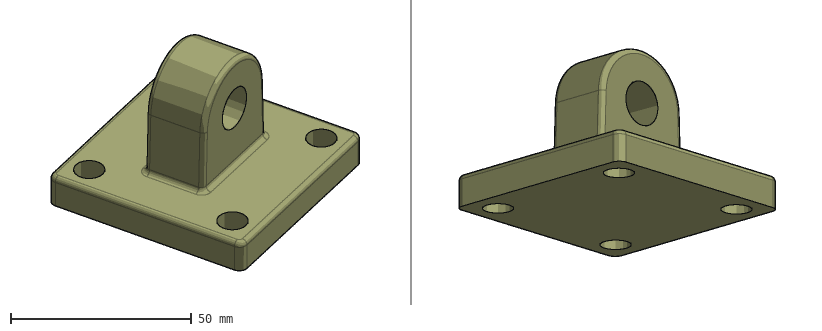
import cadquery as cq
import math

plate_side = 63.5
plate_thickness = 9.525
plate_corner_radius = 2.54

mount_hole_diameter = 8.636
mount_hole_spacing = 46.736

lug_width = 19.05
crown_radius = 15.748
flank_draft = math.radians(2.0)
pin_hole_diameter = 12.7
pin_height = 28.575

edge_fillet = 1.524
root_fillet = 1.524
selection_margin = 0.1


def make_plate():
    """Square plate with rounded corners and a rounded top rim."""
    plate = cq.Workplane("XY").box(plate_side, plate_side, plate_thickness, centered=(True, True, False))
    plate = plate.edges("|Z").fillet(plate_corner_radius)
    return plate.faces(">Z").edges().fillet(edge_fillet)


def make_lug():
    """Rounded lug whose straight flanks leave the crown arc tangentially."""
    tangent_y = crown_radius * math.cos(flank_draft)
    tangent_z = pin_height + crown_radius * math.sin(flank_draft)
    foot_z = plate_thickness / 2
    foot_y = tangent_y + (tangent_z - foot_z) * math.tan(flank_draft)
    lug = (
        cq.Workplane("YZ")
        .moveTo(-foot_y, foot_z)
        .lineTo(-tangent_y, tangent_z)
        .threePointArc((0, pin_height + crown_radius), (tangent_y, tangent_z))
        .lineTo(foot_y, foot_z)
        .close()
        .extrude(lug_width / 2, both=True)
    )
    rim = lug.faces("<X or >X").edges("not <Z")
    return rim.fillet(edge_fillet)


def fillet_lug_root(body):
    """Blend the lug into the top of the plate."""
    reach = plate_side / 2 - plate_corner_radius
    root_region = cq.selectors.BoxSelector(
        (-reach, -reach, plate_thickness - selection_margin),
        (reach, reach, plate_thickness + selection_margin),
    )
    return body.edges(root_region).fillet(root_fillet)


def cut_pin_hole(body):
    """Bore the pin hole through the lug along X."""
    pin = cq.Workplane("YZ").center(0, pin_height).circle(pin_hole_diameter / 2).extrude(lug_width, both=True)
    return body.cut(pin)


def cut_mount_holes(body):
    """Drill the four mounting holes through the plate."""
    drills = (
        cq.Workplane("XY")
        .rect(mount_hole_spacing, mount_hole_spacing, forConstruction=True)
        .vertices()
        .circle(mount_hole_diameter / 2)
        .extrude(plate_thickness)
    )
    return body.cut(drills)


bracket = make_plate().union(make_lug())
bracket = fillet_lug_root(bracket)
bracket = cut_pin_hole(bracket)
result = cut_mount_holes(bracket)